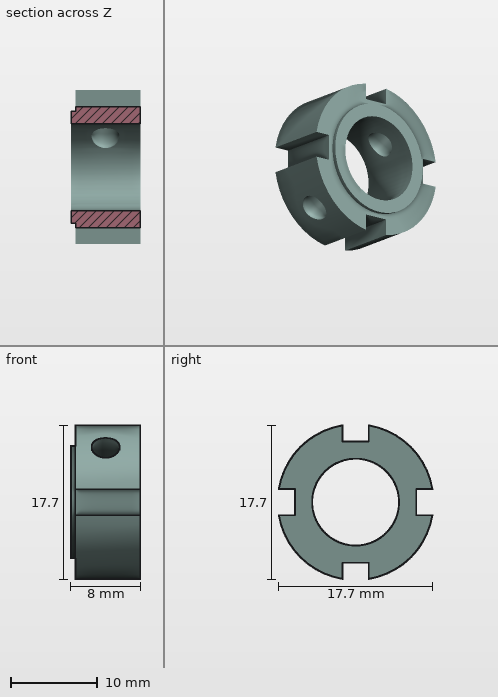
import cadquery as cq

body_diameter = 18.0
body_length = 7.5
collar_diameter = 13.0
collar_length = 0.5
bore_diameter = 10.0

slot_count = 4
slot_width = 3.0
slot_floor_radius = 7.0

cross_hole_diameter = 3.24
cross_hole_angle = 45.0

total_length = collar_length + body_length
cross_hole_x = total_length / 2


def make_blank():
    """Thin locating collar at the -X end, followed by the main body."""
    collar = cq.Workplane("YZ").circle(collar_diameter / 2).extrude(total_length)
    body = (
        cq.Workplane("YZ")
        .workplane(offset=collar_length)
        .circle(body_diameter / 2)
        .extrude(body_length)
    )
    return body.union(collar)


def make_bore():
    return cq.Workplane("YZ").circle(bore_diameter / 2).extrude(total_length)


def make_slot(angle):
    """Spanner slot along the full body length, open at the rim."""
    cutter_height = body_diameter / 2
    return (
        cq.Workplane("XY")
        .box(body_length, slot_width, cutter_height, centered=(False, True, False))
        .translate((collar_length, 0, slot_floor_radius))
        .rotate((0, 0, 0), (1, 0, 0), angle)
    )


def make_cross_hole():
    """Radial hole running straight through both walls of the ring."""
    return (
        cq.Workplane("XY")
        .center(cross_hole_x, 0)
        .circle(cross_hole_diameter / 2)
        .extrude(body_diameter, both=True)
        .rotate((0, 0, 0), (1, 0, 0), cross_hole_angle)
    )


result = make_blank().cut(make_bore())
for index in range(slot_count):
    result = result.cut(make_slot(index * 360 / slot_count))
result = result.cut(make_cross_hole())